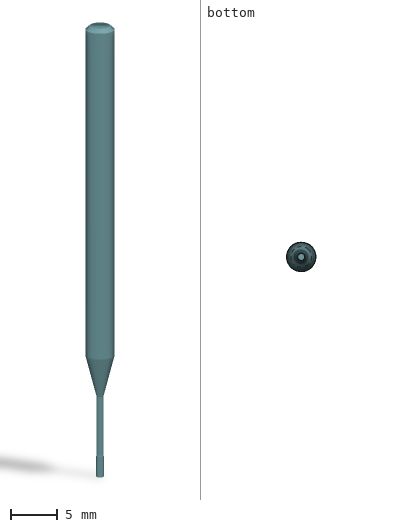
import cadquery as cq

total_length = 50.8
tip_length = 2.3
neck_taper_top = 2.45
neck_top = 9.1
cone_bottom = 9.25
cone_top = 13.65

shank_radius = 3.15 / 2
cone_end_radius = 0.85 / 2
neck_radius = 0.75 / 2
tip_radius = 0.8 / 2

bevel_width = 0.45
bevel_height = 0.4


def make_holder():
    """Shank, cone and neck turned as one body about Z."""
    profile = (
        cq.Workplane("XZ")
        .moveTo(0, tip_length)
        .lineTo(tip_radius, tip_length)
        .lineTo(neck_radius, neck_taper_top)
        .lineTo(neck_radius, neck_top)
        .lineTo(cone_end_radius, cone_bottom)
        .lineTo(shank_radius, cone_top)
        .lineTo(shank_radius, total_length - bevel_height)
        .lineTo(shank_radius - bevel_width, total_length)
        .lineTo(0, total_length)
        .close()
    )
    return profile.revolve(360, (0, 0, 0), (0, 1, 0))


def make_tip():
    """Plain cylindrical cutting tip that meets the end of the neck."""
    return cq.Workplane("XY").circle(tip_radius).extrude(tip_length)


holder = make_holder()
tip = make_tip()

result = cq.Compound.makeCompound([holder.val(), tip.val()])